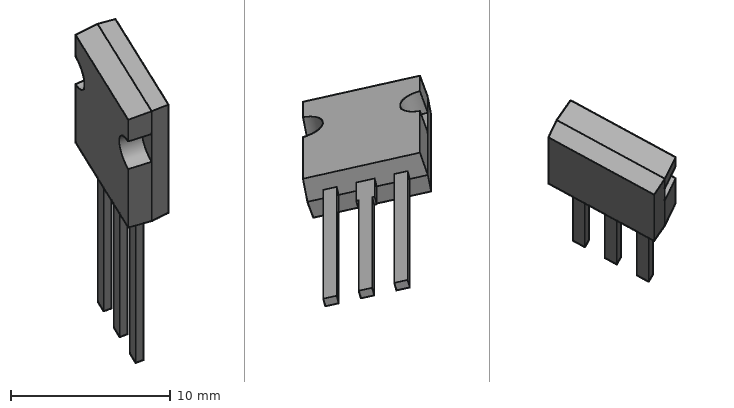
import cadquery as cq

TOTAL_HEIGHT = 26.4
BODY_WIDTH = 7.8
BODY_HEIGHT = 11.1
BODY_DEPTH = 2.8
FRONT_DEPTH = 1.58
BACK_DEPTH = BODY_DEPTH - FRONT_DEPTH
BODY_BOTTOM = TOTAL_HEIGHT - BODY_HEIGHT
BODY_MIDDLE = BODY_BOTTOM + BODY_HEIGHT / 2

FRONT_INSET = 0.11

NOTCH_RADIUS = 1.4
NOTCH_HEIGHT = TOTAL_HEIGHT - 3.7

LEAD_PITCH = 2.3
LEAD_WIDTH = 0.87
LEAD_THICKNESS = 0.55
SHOULDER_WIDTH = 1.2
SHOULDER_LENGTH = 2.53


def make_tapered_half(depth, direction):
    """Half of the package, narrowing from Y = 0 to Y = direction * depth."""
    inset = FRONT_INSET * depth / FRONT_DEPTH
    return (
        cq.Workplane("XZ")
        .center(0, BODY_MIDDLE)
        .rect(BODY_WIDTH, BODY_HEIGHT)
        .workplane(offset=-direction * depth)
        .rect(BODY_WIDTH - 2 * inset, BODY_HEIGHT - 2 * inset)
        .loft(ruled=True)
    )


def make_front_half():
    """Front half with a half-round notch in each side."""
    notches = (
        cq.Workplane("XZ")
        .pushPoints([(side * BODY_WIDTH / 2, NOTCH_HEIGHT) for side in (-1, 1)])
        .circle(NOTCH_RADIUS)
        .extrude(FRONT_DEPTH)
    )
    return make_tapered_half(FRONT_DEPTH, -1).cut(notches)


def make_back_half():
    """Plain back half."""
    return make_tapered_half(BACK_DEPTH, 1)


def make_lead(x, has_shoulder, package_half):
    """Lead that meets the sloping underside of the package, optionally wider at its root."""
    root = BODY_BOTTOM + FRONT_INSET
    lead = (
        cq.Workplane("XZ")
        .center(x, root / 2)
        .rect(LEAD_WIDTH, root)
        .extrude(LEAD_THICKNESS)
    )
    if has_shoulder:
        shoulder_length = SHOULDER_LENGTH + FRONT_INSET
        shoulder = (
            cq.Workplane("XZ")
            .center(x, root - shoulder_length / 2)
            .rect(SHOULDER_WIDTH, shoulder_length)
            .extrude(LEAD_THICKNESS)
        )
        lead = lead.union(shoulder)
    return lead.cut(package_half)


front_half = make_front_half()
back_half = make_back_half()
leads = [make_lead(place * LEAD_PITCH, place == 0, front_half) for place in (-1, 0, 1)]

result = cq.Compound.makeCompound(
    [front_half.val(), back_half.val(), *[lead.val() for lead in leads]]
)